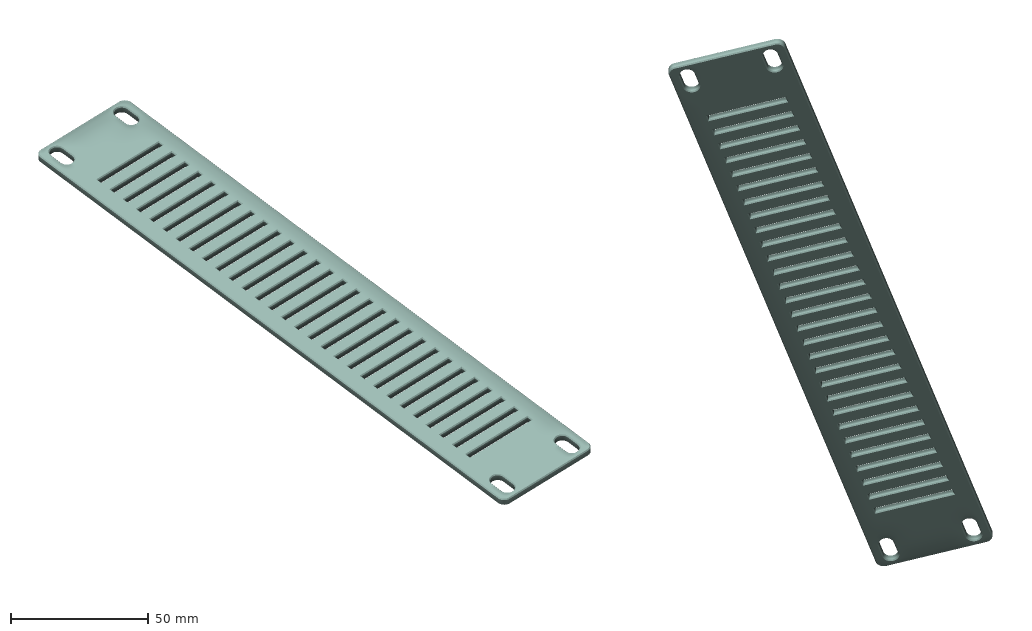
import cadquery as cq

length = 254.0
width = 44.5
thickness = 3.0
corner_radius = 3.0

edge_chamfer = 0.4

mount_spacing_x = 238.8
mount_spacing_y = 31.8
mount_slot_length = 10.7
mount_slot_width = 5.5

vent_count = 29
vent_row_length = 200.0
vent_pitch = vent_row_length / (vent_count - 1)
vent_width = 1.95
vent_length = 30.0


def make_plate():
    """Flat plate resting on Z = 0, with rounded corners."""
    plate = cq.Workplane("XY").rect(length, width).extrude(thickness)
    return plate.edges("|Z").fillet(corner_radius)


def mount_slot_cutter():
    """Four round-ended slots with their long axis along X."""
    return (
        cq.Workplane("XY")
        .rect(mount_spacing_x, mount_spacing_y, forConstruction=True)
        .vertices()
        .slot2D(mount_slot_length, mount_slot_width)
        .extrude(thickness)
    )


def vent_cutter():
    """Evenly spaced rectangular slots with their long axis along Y."""
    return (
        cq.Workplane("XY")
        .rarray(vent_pitch, vent_length, vent_count, 1)
        .rect(vent_width, vent_length)
        .extrude(thickness)
    )


slotted_plate = make_plate().cut(mount_slot_cutter()).cut(vent_cutter())
result = slotted_plate.faces("<Z or >Z").edges().chamfer(edge_chamfer)